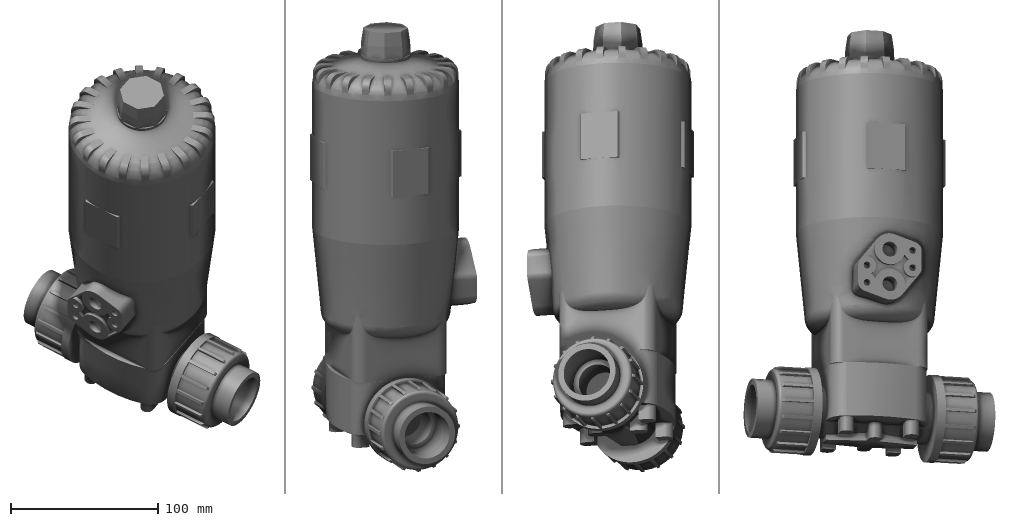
import cadquery as cq
import math

overall_length = 166.0
front_reach = 58.0

housing_radius = 50.0
shell_bottom_z = 126.2
shoulder_z = 236.5
shoulder_round = 12.5
taper_radius = 44.0
taper_bottom_z = 66.8
base_z = 57.0
base_round = 10.5
neck_radius = 16.8
neck_bottom_z = 245.3
neck_top_z = 247.5

knob_sides = 8
knob_bottom_width = 31.5
knob_middle_width = 30.7
knob_top_width = 28.0
knob_middle_z = 256.2
knob_top_z = 265.7

crown_rib_count = 20
crown_rib_width = 5.0
crown_rib_inner_radius = 35.0
crown_rib_outer_radius = 49.3
crown_rib_round = 6.5
crown_rib_bottom_z = 230.0
crown_rib_top_z = 240.5

pad_count = 4
pad_face_width = 25.7
pad_root_width = 28.0
pad_height = 2.5
pad_bottom_z = 160.2
pad_top_z = 192.5

bonnet_width = 68.0
bonnet_corner = 8.0
bonnet_bottom_z = 27.5
bonnet_top_z = 88.6
body_width = 68.5
body_depth = 75.5
body_bulge_radius = 85.0
body_corner = 13.5
body_bottom_z = -9.8

foot_half_length = 32.0
foot_half_depth = 10.3
foot_end_half_depth = 5.5
foot_bottom_z = -20.5
lug_x = 22.8
lug_width = 9.5
lug_reach = 32.5
lug_inner_y = 21.5
lug_bottom_z = -19.8
middle_lug_width = 9.0
middle_lug_reach = 20.7

pipe_radius = 17.7
spigot_radius = 20.0
socket_radius = 16.3
bore_radius = 12.7
socket_depth = 26.5
bore_end_x = 35.5
collar_radius = 29.8
collar_inner_x = 40.2
nut_inner_x = 46.0
nut_outer_x = 70.0
nut_radius = 27.8
nut_round = 2.0
grip_count = 16
grip_width = 2.0
grip_radius = 29.5
grip_end_x = 67.7
grip_chamfer = 1.2

manifold_z = 90.0
port_offset = 12.0
port_hole_diameter = 10.3
port_land_radius = 10.5
port_lobe_diameter = 22.2
screw_x = 16.0
screw_hole_radius = 2.5
screw_lobe_radius = 6.2
port_depth = 11.8
screw_depth = 7.5
recess_depth = 2.5
recess_lip = 1.0
land_notch_port_end = (10.0, 9.0)
land_notch_screw_end = (13.5, 5.0)
manifold_back_y = -29.5


def around_z(shape, count):
    """Union of copies of the shape spread evenly about the Z axis."""
    ring = shape
    for i in range(1, count):
        ring = ring.union(shape.rotate((0, 0, 0), (0, 0, 1), 360 * i / count))
    return ring


def hull_outline(workplane, circles):
    """Closed outline wrapped around circles (x, y, radius) listed counter-clockwise."""
    count = len(circles)
    normals = []
    for i in range(count):
        xa, ya, ra = circles[i]
        xb, yb, rb = circles[(i + 1) % count]
        heading = math.atan2(yb - ya, xb - xa)
        normals.append(heading - math.acos((ra - rb) / math.hypot(xb - xa, yb - ya)))

    def on_circle(i, angle):
        x, y, r = circles[i % count]
        return (x + r * math.cos(angle), y + r * math.sin(angle))

    outline = workplane.moveTo(*on_circle(0, normals[0]))
    for i in range(count):
        start = normals[i]
        sweep = (normals[(i + 1) % count] - start) % (2 * math.pi)
        outline = outline.lineTo(*on_circle(i + 1, start))
        arc_middle = on_circle(i + 1, start + sweep / 2)
        outline = outline.threePointArc(arc_middle, on_circle(i + 1, start + sweep))
    return outline.close()


def housing():
    taper_slope = (housing_radius - taper_radius) / (shell_bottom_z - taper_bottom_z)
    base_radius = taper_radius - taper_slope * (taper_bottom_z - base_z)
    profile = [
        (0, base_z),
        (base_radius, base_z),
        (housing_radius, shell_bottom_z),
        (housing_radius, shoulder_z),
        (neck_radius, neck_bottom_z),
        (neck_radius, neck_top_z),
        (0, neck_top_z),
    ]
    turned = cq.Workplane("XZ").polyline(profile).close().revolve(360, (0, 0, 0), (0, 1, 0))
    shoulder_edge = cq.selectors.NearestToPointSelector((0, 0, shoulder_z))
    return turned.edges("<Z").fillet(base_round).edges(shoulder_edge).fillet(shoulder_round)


def knob():
    def octagon(workplane, width):
        corner_radius = width / 2 / math.cos(math.pi / knob_sides)
        corner_angles = [(2 * i + 1) * math.pi / knob_sides for i in range(knob_sides)]
        corners = [(corner_radius * math.cos(a), corner_radius * math.sin(a)) for a in corner_angles]
        return workplane.polyline(corners).close()

    def frustum(z0, z1, width0, width1):
        lower = octagon(cq.Workplane("XY").workplane(offset=z0), width0)
        return octagon(lower.workplane(offset=z1 - z0), width1).loft(ruled=True)

    lower = frustum(neck_top_z, knob_middle_z, knob_bottom_width, knob_middle_width)
    return lower.union(frustum(knob_middle_z, knob_top_z, knob_middle_width, knob_top_width))


def crown_ribs():
    shoulder_radius = crown_rib_outer_radius - crown_rib_round
    rib = (
        cq.Workplane("XZ")
        .moveTo(crown_rib_inner_radius, crown_rib_bottom_z)
        .lineTo(crown_rib_outer_radius, crown_rib_bottom_z)
        .lineTo(crown_rib_outer_radius, crown_rib_top_z - crown_rib_round)
        .radiusArc((shoulder_radius, crown_rib_top_z), -crown_rib_round)
        .lineTo(crown_rib_inner_radius, crown_rib_top_z)
        .close()
        .extrude(crown_rib_width / 2, both=True)
    )
    return around_z(rib, crown_rib_count)


def label_pads():
    root_radius = housing_radius - pad_height
    pad = (
        cq.Workplane("XY")
        .workplane(offset=pad_bottom_z)
        .polyline([
            (0, -pad_root_width / 2),
            (root_radius, -pad_root_width / 2),
            (housing_radius, -pad_face_width / 2),
            (housing_radius, pad_face_width / 2),
            (root_radius, pad_root_width / 2),
            (0, pad_root_width / 2),
        ])
        .close()
        .extrude(pad_top_z - pad_bottom_z)
    )
    return around_z(pad, pad_count)


def bonnet():
    return (
        cq.Workplane("XY")
        .workplane(offset=bonnet_bottom_z)
        .rect(bonnet_width, bonnet_width)
        .extrude(bonnet_top_z - bonnet_bottom_z)
        .edges("|Z")
        .fillet(bonnet_corner)
    )


def valve_body():
    half_width = body_width / 2
    crest_y = body_depth / 2
    corner_y = crest_y - body_bulge_radius + math.sqrt(body_bulge_radius**2 - half_width**2)
    return (
        cq.Workplane("XY")
        .workplane(offset=body_bottom_z)
        .moveTo(half_width, -corner_y)
        .lineTo(half_width, corner_y)
        .threePointArc((0, crest_y), (-half_width, corner_y))
        .lineTo(-half_width, -corner_y)
        .threePointArc((0, -crest_y), (half_width, -corner_y))
        .close()
        .extrude(bonnet_bottom_z - body_bottom_z)
        .edges("|Z")
        .fillet(body_corner)
    )


def foot():
    half_outline = [
        (foot_half_length, -foot_end_half_depth),
        (foot_half_length, foot_end_half_depth),
        (0, foot_half_depth),
    ]
    outline = half_outline + [(-x, -y) for x, y in half_outline]
    bottom = cq.Workplane("XY").workplane(offset=foot_bottom_z)
    return bottom.polyline(outline).close().extrude(-foot_bottom_z)


def lug_pair(x, width, inner_y, reach, bottom_z):
    """Two lugs under the body, front and back, each with a half-round outer end."""
    round_start = reach - width / 2
    back = (
        cq.Workplane("XY", origin=(x, 0, bottom_z))
        .moveTo(-width / 2, inner_y)
        .lineTo(width / 2, inner_y)
        .lineTo(width / 2, round_start)
        .threePointArc((0, reach), (-width / 2, round_start))
        .close()
        .extrude(body_bottom_z - bottom_z)
    )
    return back.union(back.mirror("XZ"))


def union_end():
    """Pipe end with its union nut on the +X side."""
    end_x = overall_length / 2

    def ring(radius, x0, x1):
        return cq.Workplane("YZ").workplane(offset=x0).circle(radius).extrude(x1 - x0)

    nut = ring(nut_radius, nut_inner_x, nut_outer_x).faces(">X").edges().fillet(nut_round)
    grip_profile = [
        (nut_inner_x, 0),
        (grip_end_x, 0),
        (grip_end_x, grip_radius - grip_chamfer),
        (grip_end_x - grip_chamfer, grip_radius),
        (nut_inner_x, grip_radius),
    ]
    grip = cq.Workplane("XZ").polyline(grip_profile).close().extrude(grip_width / 2, both=True)
    for i in range(grip_count):
        nut = nut.union(grip.rotate((0, 0, 0), (1, 0, 0), 360 * i / grip_count))
    return (
        ring(pipe_radius, 0, collar_inner_x)
        .union(ring(collar_radius, collar_inner_x, nut_inner_x))
        .union(nut)
        .union(ring(spigot_radius, nut_inner_x, end_x))
        .cut(ring(socket_radius, end_x - socket_depth, end_x))
        .cut(ring(bore_radius, bore_end_x, end_x))
    )


def manifold():
    """Air connection block: its outline lies in XZ about the block centre."""
    def plane_at(y):
        return cq.Workplane("XZ", origin=(0, y, manifold_z))

    def lobes(inset):
        port_radius = port_lobe_diameter / 2 - inset
        screw_radius = screw_lobe_radius - inset
        half = [
            (screw_x, 0, screw_radius),
            (screw_x, port_offset, screw_radius),
            (0, port_offset, port_radius),
        ]
        return half + [(-x, -z, r) for x, z, r in half]

    def holes(points, radius, depth):
        return plane_at(-front_reach).pushPoints(points).circle(radius).extrude(-depth)

    ports = [(0, port_offset), (0, -port_offset)]
    middle_screws = [(screw_x, 0), (-screw_x, 0)]
    corner_screws = [(screw_x, port_offset), (-screw_x, -port_offset)]

    corner_land = [
        (0, port_offset),
        land_notch_port_end,
        land_notch_screw_end,
        (screw_x, 0),
        (2 * screw_x, 0),
        (2 * screw_x, 2 * port_offset),
        (0, 2 * port_offset),
    ]
    floor = plane_at(recess_depth - front_reach)
    recess = hull_outline(floor, lobes(recess_lip)).extrude(recess_depth)
    recess = recess.cut(floor.pushPoints(ports).circle(port_land_radius).extrude(recess_depth))
    recess = recess.cut(floor.pushPoints(middle_screws).circle(screw_lobe_radius).extrude(recess_depth))
    for side in (1, -1):
        land = [(side * x, side * z) for x, z in corner_land]
        recess = recess.cut(floor.polyline(land).close().extrude(recess_depth))

    block = hull_outline(plane_at(manifold_back_y), lobes(0)).extrude(front_reach + manifold_back_y)
    block = block.cut(recess)
    block = block.cut(holes(ports, port_hole_diameter / 2, port_depth))
    return block.cut(holes(middle_screws + corner_screws, screw_hole_radius, screw_depth))


right_end = union_end()
result = (
    housing()
    .union(crown_ribs())
    .union(label_pads())
    .union(knob())
    .union(bonnet())
    .union(valve_body())
    .union(foot())
    .union(lug_pair(0, middle_lug_width, 0, middle_lug_reach, foot_bottom_z))
    .union(lug_pair(lug_x, lug_width, lug_inner_y, lug_reach, lug_bottom_z))
    .union(lug_pair(-lug_x, lug_width, lug_inner_y, lug_reach, lug_bottom_z))
    .union(right_end)
    .union(right_end.mirror("YZ"))
    .union(manifold())
)